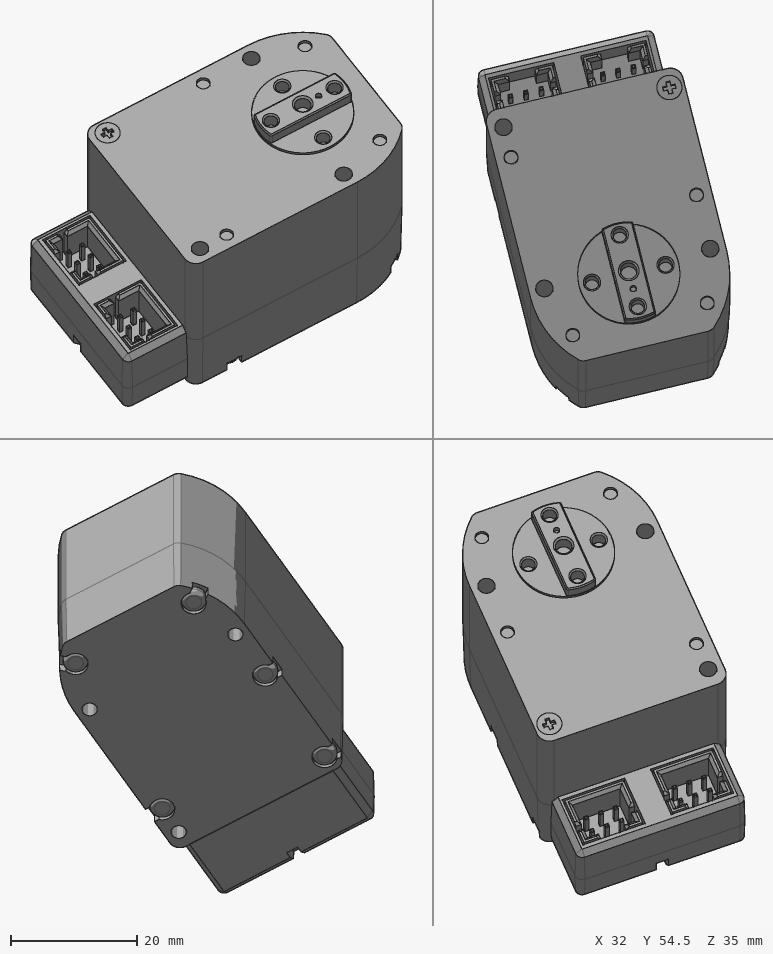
import cadquery as cq
import math


case_width = 32.0
case_height = 32.45
case_back = 12.0
case_front = -31.1
parting_z = 12.15
draft = 1.0
nose_radius = case_width / 2
back_corner_radius = 1.65
front_corner_radius = 2.05

horn_diameter = 16.2
tongue_diameter = 16.0
horn_recess_depth = 3.0
horn_rise = 0.5
tongue_width = 5.0
tongue_height = 2.05
tongue_corner_radius = 0.4
tongue_chamfer = 0.2
horn_hole_diameter = 2.2
horn_hole_mouth = 2.7
horn_hole_offset = 6.0
horn_hole_depth = 2.7
center_hole_diameter = 2.6
center_hole_mouth = 3.25
index_hole_diameter = 1.0
index_hole_offset = 3.0
index_hole_depth = 1.0

hole_x = 13.5
rear_hole_y = -1.0
front_hole_y = -28.0
mount_points = [(-hole_x, rear_hole_y), (hole_x, rear_hole_y), (hole_x, front_hole_y)]
mount_hole_diameter = 2.4
upper_mount_hole_diameter = 2.7

back_tip_x = 10.95
back_tip_y = 7.45
left_tip_y = -10.05
right_tip_y = -23.0
tip_points = [
    (-back_tip_x, back_tip_y),
    (back_tip_x, back_tip_y),
    (-hole_x, left_tip_y),
    (hole_x, right_tip_y),
]
tip_hole_diameter = 2.2
tip_hole_depth = 0.6
screw_head_diameter = 4.0
seat_z = 1.75
screw_head_bottom_z = 0.25
screw_head_rounding = 0.75
seat_slot_width = 2.7
seat_slot_reach = 4.35

cover_screw_point = (-hole_x, front_hole_y)
cover_screw_length = 1.65
cross_length = 2.0
cross_width = 0.65
cross_depth = 0.6

block_width = 28.85
block_end = -42.5
block_root = -28.35
block_parting_z = 6.2
block_bottom_z = 0.1
block_top_z = 13.95
block_corner_radius = 1.2
bevel_inset = 1.05
top_bevel_height = 0.85
bottom_bevel_height = 1.15
notch_width = 2.0
notch_top_z = 3.3
notch_depth = 2.2

socket_x = 7.5
socket_width = 10.65
socket_length = 8.9
socket_y = -36.25
socket_depth = 6.0
shroud_gap = 0.3
shroud_wall = 0.9
shroud_bevel = 0.55
key_gap = 0.85
key_y = -37.3
latch_gap = 4.35
pin_size = 0.65
pin_pitch = 2.5
pin_y = -36.3
pin_length = 3.8
pin_chamfer = 0.15
socket_floor_z = block_top_z - socket_depth


def box(width, length, height, x, y, z):
    """Box standing on height z, centred on x and y."""
    return cq.Workplane("XY", origin=(x, y, z)).rect(width, length).extrude(height)


def cylinder(diameter, height, x, y, z):
    return cq.Workplane("XY", origin=(x, y, z)).circle(diameter / 2).extrude(height)


def case_outline():
    """Outline with a round nose about the output axis, cut flat at the back."""
    half = case_width / 2
    bend = front_corner_radius * (1 - math.sqrt(0.5))
    shoulder_y = case_front + front_corner_radius
    front_x = half - front_corner_radius
    corner_y = case_back - back_corner_radius
    corner_x = math.sqrt((nose_radius - back_corner_radius) ** 2 - corner_y**2)
    angle = math.atan2(corner_y, corner_x)
    mid_angle = (angle + math.pi / 2) / 2
    nose_end = (nose_radius * math.cos(angle), nose_radius * math.sin(angle))
    nose_mid = (nose_radius * math.cos(angle / 2), nose_radius * math.sin(angle / 2))
    corner_mid = (
        corner_x + back_corner_radius * math.cos(mid_angle),
        corner_y + back_corner_radius * math.sin(mid_angle),
    )
    return (
        cq.Workplane("XY", origin=(0, 0, parting_z))
        .moveTo(-corner_x, case_back)
        .lineTo(corner_x, case_back)
        .threePointArc(corner_mid, nose_end)
        .threePointArc(nose_mid, (half, 0))
        .lineTo(half, shoulder_y)
        .threePointArc((half - bend, case_front + bend), (front_x, case_front))
        .lineTo(-front_x, case_front)
        .threePointArc((bend - half, case_front + bend), (-half, shoulder_y))
        .lineTo(-half, 0)
        .threePointArc((-nose_mid[0], nose_mid[1]), (-nose_end[0], nose_end[1]))
        .threePointArc((-corner_mid[0], corner_mid[1]), (-corner_x, case_back))
        .close()
    )


def block_layer(z, height, inset, taper):
    half = block_width / 2 - inset
    end = block_end + inset
    radius = block_corner_radius - inset
    bend = radius * (1 - math.sqrt(0.5))
    return (
        cq.Workplane("XY", origin=(0, 0, z))
        .moveTo(-half, block_root)
        .lineTo(-half, end + radius)
        .threePointArc((bend - half, end + bend), (radius - half, end))
        .lineTo(half - radius, end)
        .threePointArc((half - bend, end + bend), (half, end + radius))
        .lineTo(half, block_root)
        .close()
        .extrude(height, taper=taper)
    )


def block_half(end_z, bevel_height):
    """Drafted wall from the block's parting line to the bevel, then the bevel to end_z."""
    direction = math.copysign(1, end_z - block_parting_z)
    wall_height = abs(end_z - block_parting_z) - bevel_height
    inset = wall_height * math.tan(math.radians(draft))
    bevel_angle = math.degrees(math.atan2(bevel_inset, bevel_height))
    wall = block_layer(block_parting_z, direction * wall_height, 0, draft)
    bevel = block_layer(end_z - direction * bevel_height, direction * bevel_height, inset, bevel_angle)
    return wall.union(bevel)


def socket_block():
    block = block_half(block_top_z, top_bevel_height).union(block_half(block_bottom_z, bottom_bevel_height))
    return block.cut(box(notch_width, 2 * notch_depth, notch_top_z, 0, block_end, 0))


def shroud(x):
    """Socket wall with bevelled inner rim and ends, open at a key on each side and at the latch in front."""
    width = socket_width - 2 * shroud_gap
    length = socket_length - 2 * shroud_gap
    wall = box(width, length, socket_depth, x, socket_y, socket_floor_z)
    openings = (
        (width - 2 * shroud_wall, length - 2 * shroud_wall, x, socket_y),
        (socket_width, key_gap, x, key_y),
        (latch_gap, socket_length / 2, x, socket_y - socket_length / 2),
    )
    for opening_width, opening_length, opening_x, opening_y in openings:
        opening = box(opening_width, opening_length, socket_depth, opening_x, opening_y, socket_floor_z)
        bevel = (
            cq.Workplane("XY", origin=(opening_x, opening_y, block_top_z))
            .rect(opening_width + 2 * shroud_bevel, opening_length + 2 * shroud_bevel)
            .extrude(-shroud_bevel, taper=45)
        )
        wall = wall.cut(opening).cut(bevel)
    return wall


def pins(x):
    pin = (
        cq.Workplane("XY", origin=(x, pin_y, socket_floor_z))
        .rarray(pin_pitch, pin_pitch, 3, 2)
        .rect(pin_size, pin_size)
        .extrude(pin_length)
    )
    return pin.faces(">Z").chamfer(pin_chamfer)


def screw_head(x, y):
    head = cylinder(screw_head_diameter, seat_z - screw_head_bottom_z, x, y, screw_head_bottom_z)
    return head.faces("<Z").edges().fillet(screw_head_rounding)


def screw_seat(x, y):
    """Round seat with a slot out through the nearest wall: radial on the nose, square to the flat sides."""
    if y > 0:
        angle = math.degrees(math.atan2(y, x))
    else:
        angle = math.degrees(math.atan2(0, x))
    slot = box(seat_slot_reach, seat_slot_width, seat_z, seat_slot_reach / 2, 0, 0)
    slot = slot.rotate((0, 0, 0), (0, 0, 1), angle).translate((x, y, 0))
    return slot.union(cylinder(screw_head_diameter, seat_z, x, y, 0))


def cover_screw():
    x, y = cover_screw_point
    screw = cylinder(screw_head_diameter, cover_screw_length, x, y, case_height - cover_screw_length)
    for width, length in ((cross_length, cross_width), (cross_width, cross_length)):
        screw = screw.cut(box(width, length, cross_depth, x, y, case_height - cross_depth))
    return screw


def add_sockets(body):
    for x in (-socket_x, socket_x):
        body = body.cut(box(socket_width, socket_length, socket_depth, x, socket_y, socket_floor_z))
        body = body.union(shroud(x)).union(pins(x))
    return body


def add_case_screws(body):
    for x, y in tip_points + [cover_screw_point]:
        body = body.cut(screw_seat(x, y)).union(screw_head(x, y))
    for x, y in tip_points:
        body = body.cut(cylinder(tip_hole_diameter, tip_hole_depth, x, y, case_height - tip_hole_depth))
    return body


def cut_mount_holes(body):
    """Through holes, wider above the parting line."""
    for x, y in mount_points:
        body = body.cut(cylinder(mount_hole_diameter, case_height, x, y, 0))
        body = body.cut(cylinder(upper_mount_hole_diameter, case_height - parting_z, x, y, parting_z))
    return body


def case():
    body = case_outline().extrude(-parting_z, taper=draft)
    body = body.union(case_outline().extrude(case_height - parting_z))
    body = body.union(socket_block())
    body = add_sockets(body)
    body = add_case_screws(body)
    body = cut_mount_holes(body)
    cover_z = case_height - cover_screw_length
    body = body.cut(cylinder(screw_head_diameter, cover_screw_length, *cover_screw_point, cover_z))
    return body.cut(cylinder(horn_diameter, horn_recess_depth, 0, 0, case_height - horn_recess_depth))


def chamfered_hole(diameter, mouth, x, y, z):
    """Blind hole from height z down, with a 45 degree chamfer at its mouth."""
    chamfer = (mouth - diameter) / 2
    cone = cq.Solid.makeCone(diameter / 2, mouth / 2, chamfer, pnt=cq.Vector(x, y, z - chamfer))
    return cylinder(diameter, horn_hole_depth, x, y, z - horn_hole_depth).union(cq.Workplane(cone))


def horn():
    disc_z = case_height + horn_rise
    top_z = disc_z + tongue_height
    disc = cylinder(horn_diameter, horn_recess_depth + horn_rise, 0, 0, case_height - horn_recess_depth)
    tongue = cylinder(tongue_diameter, tongue_height, 0, 0, disc_z)
    tongue = tongue.intersect(box(tongue_width, tongue_diameter, tongue_height, 0, 0, disc_z))
    tongue = tongue.edges("|Z").fillet(tongue_corner_radius).faces(">Z").chamfer(tongue_chamfer)
    body = disc.union(tongue)
    for side in (-horn_hole_offset, horn_hole_offset):
        body = body.cut(chamfered_hole(horn_hole_diameter, horn_hole_mouth, side, 0, disc_z))
        body = body.cut(chamfered_hole(horn_hole_diameter, horn_hole_mouth, 0, side, top_z))
    body = body.cut(chamfered_hole(center_hole_diameter, center_hole_mouth, 0, 0, top_z))
    index_z = top_z - index_hole_depth
    return body.cut(cylinder(index_hole_diameter, index_hole_depth, 0, index_hole_offset, index_z))


result = cq.Compound.makeCompound([case().val(), horn().val(), cover_screw().val()])